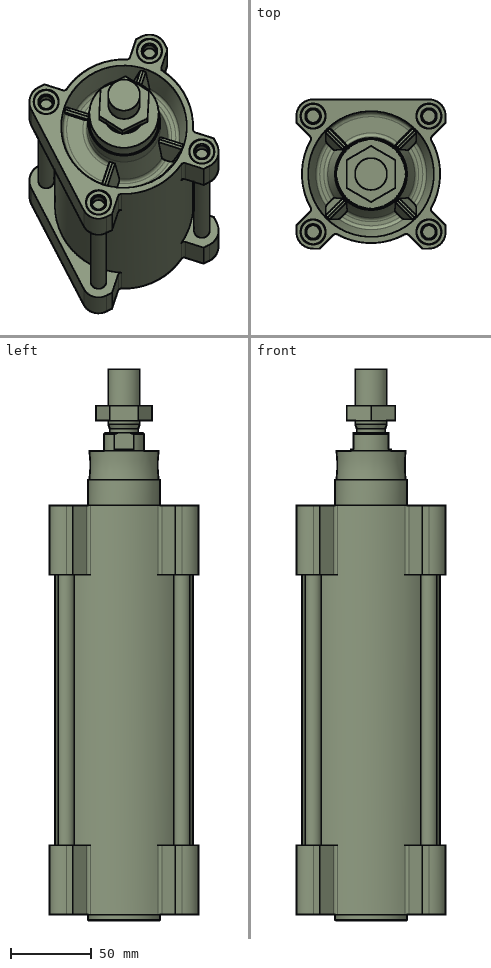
import cadquery as cq
import math

TOTAL_LENGTH = 342.5
REAR_BOSS_HEIGHT = 3.8
CAP_HEIGHT = 43.0
FRONT_CAP_TOP = 258.0
FRONT_CAP_BOTTOM = FRONT_CAP_TOP - CAP_HEIGHT
REAR_CAP_BOTTOM = REAR_BOSS_HEIGHT
REAR_CAP_TOP = REAR_CAP_BOTTOM + CAP_HEIGHT
COLLAR_STEP = 274.0
COLLAR_TOP = 292.0

TUBE_DIAMETER = 86.0
CAP_WIDTH = 93.0
TIE_ROD_SPACING = 72.0
TIE_ROD_DIAMETER = 10.0
LOBE_FLAT = 4.0
LOBE_ROOT_FILLET = 2.0
HALF_CAP = CAP_WIDTH / 2
HALF_SPACING = TIE_ROD_SPACING / 2
LOBE_RADIUS = HALF_CAP - HALF_SPACING

SEAT_DIAMETER = 15.8
SEAT_FLOOR_DIAMETER = 15.0
SEAT_DEPTH = 0.7
SOCKET_RIM_DIAMETER = 10.0
SOCKET_DIAMETER = 8.2
SOCKET_DEPTH = 10.3

DRAFT_ANGLE = 10.0
DRAFT = math.tan(math.radians(DRAFT_ANGLE))
RECESS_DIAMETER = 78.0
DEEP_RECESS_DEPTH = 28.5
SHALLOW_RECESS_DEPTH = 7.0
RECESS_FILLET = 2.5
RIB_RIDGE_DEPTH = 3.8
RIB_SHOULDER_DEPTH = 4.5
RIB_TOP_WIDTH = 3.5

BOSS_DIAMETER = 45.0
COLLAR_DIAMETER = 43.0
COLLAR_WAIST_DIAMETER = 42.0
REAR_BOSS_CHAMFER = 0.7

ROD_DIAMETER = 25.0
ROD_BOTTOM = FRONT_CAP_BOTTOM
ROD_SHOULDER = 303.2
ROD_CHAMFER = 1.0
WRENCH_FLATS_WIDTH = 22.0
WRENCH_FLATS_BOTTOM = 293.0
THREAD_DIAMETER = 20.0
THREAD_BOTTOM = 308.5
NECK_DIAMETER = 17.8
NECK_TOP = 305.5

NUT_ACROSS_FLATS = 30.0
NUT_HEIGHT = 9.3
NUT_BOTTOM = 310.7


def cylinder(diameter, bottom, top):
    return cq.Workplane("XY").workplane(offset=bottom).circle(diameter / 2).extrude(top - bottom)


def revolve_profile(profile):
    """Turn a closed radius-height profile, drawn on XZ, about the Z axis."""
    return profile.close().revolve(360, (0, 0, 0), (0, 1, 0))


def corner_points():
    return [(x, y) for x in (-HALF_SPACING, HALF_SPACING) for y in (-HALF_SPACING, HALF_SPACING)]


def lobe(bottom):
    """Lobe in the +X +Y corner: round outside, with short flats and 45 degree flanks."""
    arc_middle = HALF_SPACING + LOBE_RADIUS * math.sqrt(0.5)
    flank_start = HALF_SPACING - LOBE_FLAT
    flank_run = LOBE_RADIUS
    return (
        cq.Workplane("XY").workplane(offset=bottom)
        .moveTo(0, 0)
        .lineTo(HALF_CAP - flank_run, flank_start - flank_run)
        .lineTo(HALF_CAP, flank_start)
        .lineTo(HALF_CAP, HALF_SPACING)
        .threePointArc((arc_middle, arc_middle), (HALF_SPACING, HALF_CAP))
        .lineTo(flank_start, HALF_CAP)
        .lineTo(flank_start - flank_run, HALF_CAP - flank_run)
        .close()
        .extrude(CAP_HEIGHT)
    )


def end_cap(bottom):
    """Round cap with four tie rod lobes, squared off along its +Y side."""
    cap = cylinder(TUBE_DIAMETER, bottom, bottom + CAP_HEIGHT)
    corner = lobe(bottom)
    for quarter in range(4):
        cap = cap.union(corner.rotate((0, 0, 0), (0, 0, 1), 90 * quarter))
    back = (
        cq.Workplane("XY").workplane(offset=bottom)
        .center(0, HALF_CAP / 2)
        .rect(TIE_ROD_SPACING, HALF_CAP)
        .extrude(CAP_HEIGHT)
    )
    cap = cap.union(back)
    on_tube = TUBE_DIAMETER / 2 + 0.5
    roots = [
        edge for edge in cap.edges("|Z").vals()
        if math.hypot(edge.Center().x, edge.Center().y) < on_tube
    ]
    return cap.newObject(roots).fillet(LOBE_ROOT_FILLET)


def recess_ring(depth):
    """Annular pocket whose inner and outer walls both lean in toward its floor."""
    outer = RECESS_DIAMETER / 2
    inner = BOSS_DIAMETER / 2
    floor = FRONT_CAP_TOP - depth
    ring = revolve_profile(
        cq.Workplane("XZ")
        .moveTo(inner, FRONT_CAP_TOP)
        .lineTo(outer, FRONT_CAP_TOP)
        .lineTo(outer - depth * DRAFT, floor)
        .lineTo(inner + depth * DRAFT, floor)
    )
    return ring.faces("<Z").edges().fillet(RECESS_FILLET)


def back_sector():
    """Wedge between the two +Y ribs."""
    reach = RECESS_DIAMETER
    return (
        cq.Workplane("XY").workplane(offset=FRONT_CAP_BOTTOM)
        .polyline([(0, 0), (reach, reach), (-reach, reach)])
        .close()
        .extrude(CAP_HEIGHT)
    )


def rib():
    """Drafted rib with a ridged top, running along +X across the recess."""
    half_top = RIB_TOP_WIDTH / 2
    half_base = half_top + (DEEP_RECESS_DEPTH - RIB_SHOULDER_DEPTH) * DRAFT
    base = FRONT_CAP_TOP - DEEP_RECESS_DEPTH
    shoulder = FRONT_CAP_TOP - RIB_SHOULDER_DEPTH
    return (
        cq.Workplane("YZ")
        .moveTo(-half_base, base)
        .lineTo(-half_top, shoulder)
        .lineTo(0, FRONT_CAP_TOP - RIB_RIDGE_DEPTH)
        .lineTo(half_top, shoulder)
        .lineTo(half_base, base)
        .close()
        .extrude(RECESS_DIAMETER / 2)
    )


def cut_recess(cap):
    """Sink the ribbed recess into the front cap: three deep sectors and a shallow one at the back."""
    back_floor = back_sector().cut(recess_ring(SHALLOW_RECESS_DEPTH))
    pocket = recess_ring(DEEP_RECESS_DEPTH).cut(back_floor)
    for quarter in range(4):
        pocket = pocket.cut(rib().rotate((0, 0, 0), (0, 0, 1), 45 + 90 * quarter))
    return cap.cut(pocket)


def screw_seat():
    """Shallow seat with a chamfered socket hole in its floor."""
    seat_floor = FRONT_CAP_TOP - SEAT_DEPTH
    rim_chamfer = (SOCKET_RIM_DIAMETER - SOCKET_DIAMETER) / 2
    socket_floor = seat_floor - SOCKET_DEPTH
    return revolve_profile(
        cq.Workplane("XZ")
        .moveTo(0, FRONT_CAP_TOP)
        .lineTo(SEAT_DIAMETER / 2, FRONT_CAP_TOP)
        .lineTo(SEAT_FLOOR_DIAMETER / 2, seat_floor)
        .lineTo(SOCKET_RIM_DIAMETER / 2, seat_floor)
        .lineTo(SOCKET_DIAMETER / 2, seat_floor - rim_chamfer)
        .lineTo(SOCKET_DIAMETER / 2, socket_floor)
        .lineTo(0, socket_floor)
    )


def collar():
    """Slightly waisted collar that guides the rod."""
    return revolve_profile(
        cq.Workplane("XZ")
        .moveTo(0, COLLAR_STEP)
        .lineTo(COLLAR_DIAMETER / 2, COLLAR_STEP)
        .threePointArc(
            (COLLAR_WAIST_DIAMETER / 2, (COLLAR_STEP + COLLAR_TOP) / 2),
            (COLLAR_DIAMETER / 2, COLLAR_TOP),
        )
        .lineTo(0, COLLAR_TOP)
    )


def make_housing():
    housing = cylinder(TUBE_DIAMETER, REAR_CAP_TOP, FRONT_CAP_BOTTOM)
    housing = housing.union(end_cap(REAR_CAP_BOTTOM))
    housing = housing.union(cut_recess(end_cap(FRONT_CAP_BOTTOM)))
    rear_boss = cylinder(BOSS_DIAMETER, 0, REAR_BOSS_HEIGHT)
    housing = housing.union(rear_boss.faces("<Z").edges().chamfer(REAR_BOSS_CHAMFER))
    housing = housing.union(cylinder(BOSS_DIAMETER, FRONT_CAP_TOP, COLLAR_STEP)).union(collar())
    tie_rod = cylinder(TIE_ROD_DIAMETER, REAR_CAP_TOP, FRONT_CAP_BOTTOM)
    for x, y in corner_points():
        housing = housing.union(tie_rod.translate((x, y, 0)))
        housing = housing.cut(screw_seat().translate((x, y, 0)))
    return housing.cut(cylinder(ROD_DIAMETER, ROD_BOTTOM, COLLAR_TOP))


def make_rod():
    rod = cylinder(ROD_DIAMETER, ROD_BOTTOM, ROD_SHOULDER).faces(">Z").edges().chamfer(ROD_CHAMFER)
    flats_height = ROD_SHOULDER - WRENCH_FLATS_BOTTOM
    flats_waste = (
        cq.Workplane("XY").workplane(offset=WRENCH_FLATS_BOTTOM)
        .rect(2 * ROD_DIAMETER, 2 * ROD_DIAMETER)
        .rect(WRENCH_FLATS_WIDTH, 2 * ROD_DIAMETER - 3.5)
        .extrude(flats_height)
    )
    rod = rod.cut(flats_waste)
    tip = revolve_profile(
        cq.Workplane("XZ")
        .moveTo(0, ROD_SHOULDER)
        .lineTo(NECK_DIAMETER / 2, ROD_SHOULDER)
        .lineTo(NECK_DIAMETER / 2, NECK_TOP)
        .lineTo(THREAD_DIAMETER / 2, THREAD_BOTTOM)
        .lineTo(THREAD_DIAMETER / 2, TOTAL_LENGTH)
        .lineTo(0, TOTAL_LENGTH)
    )
    return rod.union(tip)


def make_nut():
    """Hexagon nut with two corners along Y."""
    across_corners = NUT_ACROSS_FLATS / math.cos(math.pi / 6)
    return (
        cq.Workplane("XY").workplane(offset=NUT_BOTTOM)
        .transformed(rotate=(0, 0, 90))
        .polygon(6, across_corners)
        .circle(THREAD_DIAMETER / 2)
        .extrude(NUT_HEIGHT)
    )


housing = make_housing()
rod = make_rod()
nut = make_nut()
result = cq.Compound.makeCompound([housing.val(), rod.val(), nut.val()])